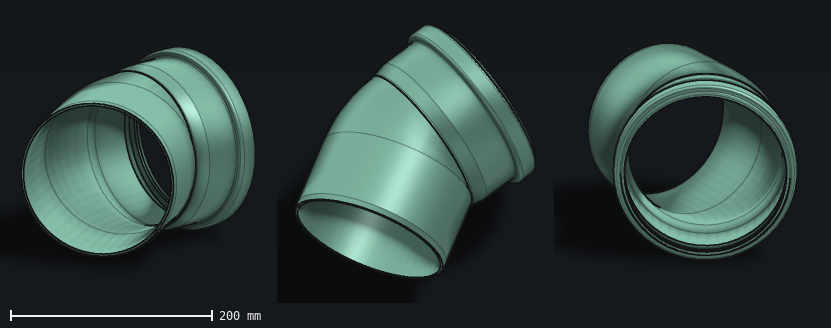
import cadquery as cq
import math

pipe_radius = 160.0 / 2
pipe_bore_radius = 152.4 / 2
spigot_length = 76.9
spigot_chamfer_length = 6.0
spigot_chamfer_depth = 1.4
bend_angle = 30.0
bend_radius = 80.7

neck_start = -1.8
neck_end = 0.2
neck_inner_radius = (pipe_bore_radius + pipe_radius) / 2
neck_radius = 161.0 / 2
socket_radius = 168.0 / 2
socket_bore_radius = 161.0 / 2
rim_radius = 168.2 / 2
rim_bore_radius = 161.2 / 2
collar_radius = 182.7 / 2
groove_radius = 175.7 / 2
cone_end = 14.5
collar_start = 52.5
collar_end = 72.8
socket_length = 77.3
collar_wall = collar_radius - groove_radius
collar_mid = (collar_start + collar_end) / 2
collar_fillet = 3.0
foot_fillet = 1.4
rim_fillet = 0.7

angle = math.radians(bend_angle)
socket_x = bend_radius * (1 - math.cos(angle))
socket_y = spigot_length + bend_radius * math.sin(angle)


def revolve_profile(points):
    """Revolve (radius, station) points about the Y axis."""
    return cq.Workplane("XY").polyline(points).close().revolve(360, (0, 0), (0, 1))


def bend(radius):
    """Sweep a disc through the bend, about a Z-parallel axis on the +X side."""
    return (
        cq.Workplane("XZ", origin=(0, spigot_length, 0))
        .circle(radius)
        .revolve(bend_angle, (bend_radius, 0), (bend_radius, -1))
    )


def place_socket(body):
    """Tilt a body towards +X and move it to the end of the bend."""
    return body.rotate((0, 0, 0), (0, 0, 1), -bend_angle).translate((socket_x, socket_y, 0))


def round_edge(body, radius, station, fillet):
    """Fillet the circular edge of the given radius and station on the Y axis."""
    margin = fillet / 10
    low = tuple(value - margin for value in (-radius, station, -radius))
    high = tuple(value + margin for value in (radius, station, radius))
    band = cq.selectors.BoxSelector(low, high, boundingbox=True)
    rim_edge = cq.selectors.RadiusNthSelector(-1)
    return body.edges("%CIRCLE").edges(band).edges(rim_edge).fillet(fillet)


def make_spigot():
    return revolve_profile([
        (pipe_bore_radius, 0),
        (pipe_radius - spigot_chamfer_depth, 0),
        (pipe_radius, spigot_chamfer_length),
        (pipe_radius, spigot_length),
        (pipe_bore_radius, spigot_length),
    ])


def make_socket_wall():
    """Neck, flared cone and cylinder, running through to the rim."""
    return revolve_profile([
        (pipe_bore_radius, 0),
        (neck_inner_radius, 0),
        (neck_inner_radius, neck_start),
        (neck_radius, neck_start),
        (neck_radius, neck_end),
        (socket_radius, cone_end),
        (socket_radius, collar_mid),
        (rim_radius, collar_mid),
        (rim_radius, socket_length),
        (rim_bore_radius, socket_length),
        (rim_bore_radius, collar_mid),
        (socket_bore_radius, collar_mid),
        (socket_bore_radius, cone_end),
        (pipe_bore_radius, neck_end),
    ])


def make_collar():
    return revolve_profile([
        (socket_bore_radius, collar_start),
        (collar_radius, collar_start),
        (collar_radius, collar_end),
        (socket_bore_radius, collar_end),
    ])


def make_seal_groove():
    return revolve_profile([
        (0, collar_start + collar_wall),
        (groove_radius, collar_start + collar_wall),
        (groove_radius, collar_end - collar_wall),
        (0, collar_end - collar_wall),
    ])


def make_socket():
    body = make_socket_wall().union(make_collar()).cut(make_seal_groove())
    body = round_edge(body, collar_radius, collar_start, collar_fillet)
    body = round_edge(body, collar_radius, collar_end, collar_fillet)
    body = round_edge(body, socket_radius, collar_start, foot_fillet)
    body = round_edge(body, rim_radius, collar_end, foot_fillet)
    return round_edge(body, rim_radius, socket_length, rim_fillet)


bend_wall = bend(pipe_radius).cut(bend(pipe_bore_radius))
result = make_spigot().union(bend_wall).union(place_socket(make_socket()))